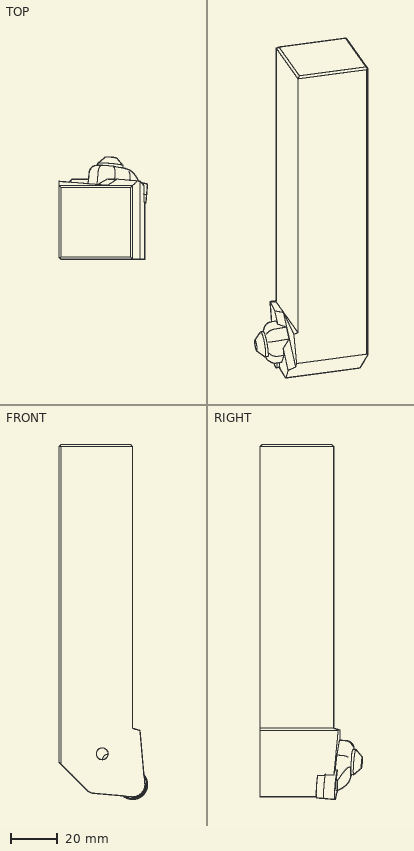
import cadquery as cq
import math

overall_length = 152.4
shank_width = 31.7
shank_chamfer = 0.9

lead_angle = 5.0
nose_radius = 5.2
heel_height = 16.0
heel_radius = 4.5
step_height = 30.6
step_width = 3.2
step_drop = 0.9

deck_tilt = 7.0
deck_height = 33.8
ledge_drop = 3.0
ledge_top = -6.9
cut_reach = 91.5
head_stock = 45.7

hole_diameter = 5.0
hole_depth = 30.5
hole_x = 18.6
hole_z = 19.7

insert_radius = 6.4
insert_thickness = 4.7
insert_top_y = 32.8
shim_thickness = 3.2

clamp_top = 40.0
clamp_half_width = 8.0
clamp_half_side = 4.5
tail_half_width = 2.7
beak_reach = 15.1
beak_half_width = 3.0
beak_top = 35.4
slope_start = 6.9
clamp_round = 3.7
screw_top = 44.0
screw_collar = 0.5
screw_base_radius = 5.5
screw_top_radius = 2.5

lean = math.tan(math.radians(deck_tilt)) / math.sqrt(2)
deck_normal = cq.Vector(lean, 1, -lean)
diagonal = cq.Vector(1, -2 * lean, -1)

clamp_frame = cq.Plane(origin=(hole_x, 0, hole_z), xDir=diagonal, normal=deck_normal)

section_frame = cq.Plane(origin=clamp_frame.origin, xDir=clamp_frame.xDir, normal=-clamp_frame.yDir)

rim_reach = insert_radius * math.sqrt(1 - deck_normal.normalized().x ** 2)
insert_x = shank_width + insert_radius - rim_reach
insert_z = rim_reach
insert_frame = cq.Plane(origin=(insert_x, insert_top_y, insert_z), xDir=diagonal, normal=deck_normal)


def edge_near(x, y, z):
    """Selects the edge whose middle is closest to a point."""
    return cq.selectors.NearestToPointSelector((x, y, z))


def clamp_section(points):
    """Wide prism whose profile lies in the plane of the diagonal and the clamp axis."""
    return cq.Workplane(section_frame).polyline(points).close().extrude(cut_reach, both=True)


def disc(top, thickness, radius):
    """Round plate on the insert axis, its top face at the given height."""
    return cq.Workplane(insert_frame).workplane(offset=top).circle(radius).extrude(-thickness)


def make_shank():
    """Square bar above the heel, its upper end chamfered all round."""
    size = (shank_width, shank_width, overall_length - heel_height)
    shank = cq.Workplane().box(*size, centered=False).translate((0, 0, heel_height))
    return shank.faces(">Z").chamfer(shank_chamfer)


def head_outline():
    """Head profile with sharp corners, flanks tangent to the nose circle."""
    slope = math.tan(math.radians(lead_angle))
    flank_offset = nose_radius / math.cos(math.radians(lead_angle))
    corner_x = shank_width + step_width
    corner_z = step_height - step_drop
    flank_x = shank_width + flank_offset + slope * insert_radius
    floor_z = insert_radius - flank_offset + slope * shank_width
    nose_x = (flank_x - slope * floor_z) / (1 - slope ** 2)
    heel_x = (heel_height - floor_z) / (1 - slope)
    return [
        (0, step_height),
        (0, heel_height),
        (heel_x, heel_height - heel_x),
        (nose_x, floor_z - slope * nose_x),
        (flank_x - slope * corner_z, corner_z),
        (shank_width, step_height),
    ]


def make_head():
    """Widened lower end with its rounded nose, tilted deck and sloping shoulder."""
    outline = head_outline()
    head = cq.Workplane("XZ").polyline(outline).close().extrude(-head_stock)
    heel, nose = outline[2], outline[3]
    head = head.edges(edge_near(nose[0], head_stock / 2, nose[1])).fillet(nose_radius)
    head = head.edges(edge_near(heel[0], head_stock / 2, heel[1])).fillet(heel_radius)

    ledge_height = deck_height - ledge_drop
    deck = clamp_section([
        (-cut_reach, -cut_reach),
        (cut_reach, -cut_reach),
        (cut_reach, deck_height),
        (ledge_top, deck_height),
        (ledge_top - ledge_drop, ledge_height),
        (-cut_reach, ledge_height),
    ])

    step_fall = step_drop / step_width * cut_reach
    shoulder = cq.Workplane("YZ").polyline([
        (0, 0),
        (0, step_height),
        (shank_width, step_height),
        (shank_width + cut_reach, step_height - step_fall),
        (shank_width + cut_reach, 0),
    ]).close().extrude(cut_reach)
    return head.intersect(deck).intersect(shoulder)


def make_clamp():
    """Clamp finger: pointed tail, parallel sides, beak sloping down onto the insert."""
    tail_reach = clamp_half_side + clamp_half_width - tail_half_width
    half_outline = [
        (-tail_reach, tail_half_width),
        (-clamp_half_side, clamp_half_width),
        (clamp_half_side, clamp_half_width),
        (beak_reach, beak_half_width),
    ]
    outline = half_outline + [(x, -y) for x, y in reversed(half_outline)]
    base = deck_height - ledge_drop
    clamp = cq.Workplane(clamp_frame).workplane(offset=base).polyline(outline).close()
    clamp = clamp.extrude(clamp_top - base)
    slope = clamp_section([
        (slope_start, clamp_top),
        (beak_reach, beak_top),
        (cut_reach, beak_top),
        (cut_reach, cut_reach),
        (slope_start, cut_reach),
    ])
    top_face = cq.selectors.DirectionMinMaxSelector(deck_normal)
    clamp = clamp.faces(top_face).edges().fillet(clamp_round)
    return clamp.cut(slope)


def make_screw_head():
    """Screw head: a short collar sunk in the clamp under a 45 degree cone."""
    cone_base = screw_top - (screw_base_radius - screw_top_radius)
    base = cone_base - screw_collar - clamp_round
    profile = cq.Workplane(section_frame).polyline([
        (0, base),
        (screw_base_radius, base),
        (screw_base_radius, cone_base),
        (screw_top_radius, screw_top),
        (0, screw_top),
    ]).close()
    return profile.revolve(360, (0, 0), (0, 1))


def make_insert():
    """Round cutting insert, lying flush in its seat on the shim."""
    return disc(0, insert_thickness, insert_radius)


def make_holder(insert):
    """Shank, head, shim, clamp and screw head as one body with a seat for the insert."""
    holder = make_shank().union(make_head())
    holder = holder.edges(edge_near(0, 0, overall_length / 2)).chamfer(shank_chamfer)
    holder = holder.union(disc(-insert_thickness, shim_thickness, insert_radius))
    holder = holder.union(make_clamp()).union(make_screw_head())
    hole = cq.Workplane(clamp_frame).circle(hole_diameter / 2).extrude(hole_depth, both=True)
    return holder.cut(hole).cut(insert)


insert = make_insert()
holder = make_holder(insert)
result = cq.Compound.makeCompound([holder.val(), insert.val()])